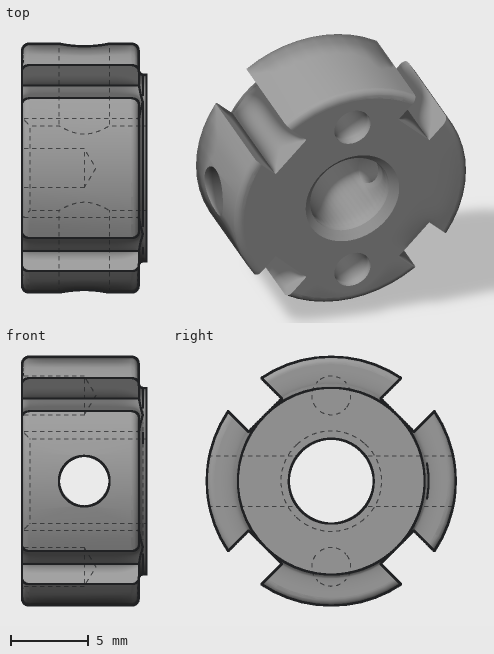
import cadquery as cq
import math

outer_diameter = 16.0
total_length = 8.0
body_length = 7.5
edge_radius = 0.5

collar_diameter = 12.0
collar_fillet = 0.25

bore_diameter = 5.44
bore_chamfer = 0.51

slot_width = 3.0
slot_floor_radius = collar_diameter / 2
slot_count = 4
slot_start_angle = 45.0

pin_hole_diameter = 2.5
pin_hole_offset = 5.5
pin_hole_depth = 4.0
pin_tip_angle = 118.0

cross_hole_diameter = 3.23
cross_hole_x = total_length / 2


def make_body():
    """Rounded disc with the collar on its +X end and a fillet at the collar's foot."""
    disc = cq.Workplane("YZ").circle(outer_diameter / 2).extrude(body_length)
    disc = disc.edges().fillet(edge_radius)
    collar_radius = collar_diameter / 2
    collar = cq.Workplane("YZ").circle(collar_radius).extrude(total_length)
    collar_foot = cq.selectors.BoxSelector(
        (body_length - collar_fillet, -collar_radius, -collar_radius),
        (body_length + collar_fillet, collar_radius, collar_radius),
    )
    body = disc.union(collar)
    foot_edge = body.edges("%CIRCLE").edges(collar_foot).edges(cq.selectors.RadiusNthSelector(0))
    return foot_edge.fillet(collar_fillet)


def cut_bore(body):
    """Through bore, chamfered where it opens on the -X face."""
    bore_radius = bore_diameter / 2
    bore = cq.Workplane("YZ").circle(bore_radius).extrude(total_length)
    mouth = cq.Solid.makeCone(
        bore_radius + bore_chamfer,
        bore_radius,
        bore_chamfer,
        pnt=cq.Vector(0, 0, 0),
        dir=cq.Vector(1, 0, 0),
    )
    return body.cut(bore).cut(cq.Workplane(mouth))


def cut_slots(body):
    """Flat-floored slots along the full length of the rim."""
    slot_height = outer_diameter / 2
    slot = cq.Workplane("XY").box(
        total_length, slot_width, slot_height, centered=(False, True, False)
    ).translate((0, 0, slot_floor_radius))
    for index in range(slot_count):
        angle = slot_start_angle + index * 360 / slot_count
        body = body.cut(slot.rotate((0, 0, 0), (1, 0, 0), angle))
    return body


def cut_pin_holes(body):
    """Drilled holes with conical bottoms, above and below the bore."""
    radius = pin_hole_diameter / 2
    tip_length = radius / math.tan(math.radians(pin_tip_angle / 2))
    profile = [
        (0, 0),
        (0, radius),
        (pin_hole_depth, radius),
        (pin_hole_depth + tip_length, 0),
    ]
    drill = cq.Workplane("XY").polyline(profile).close().revolve(360, (0, 0, 0), (1, 0, 0))
    for side in (1, -1):
        body = body.cut(drill.translate((0, 0, side * pin_hole_offset)))
    return body


def cut_cross_hole(body):
    """Hole through the whole part along Y, crossing the bore."""
    drill = (
        cq.Workplane("XZ")
        .center(cross_hole_x, 0)
        .circle(cross_hole_diameter / 2)
        .extrude(outer_diameter / 2, both=True)
    )
    return body.cut(drill)


part = make_body()
part = cut_bore(part)
part = cut_slots(part)
part = cut_pin_holes(part)
part = cut_cross_hole(part)

result = part.translate((-total_length / 2, 0, 0))